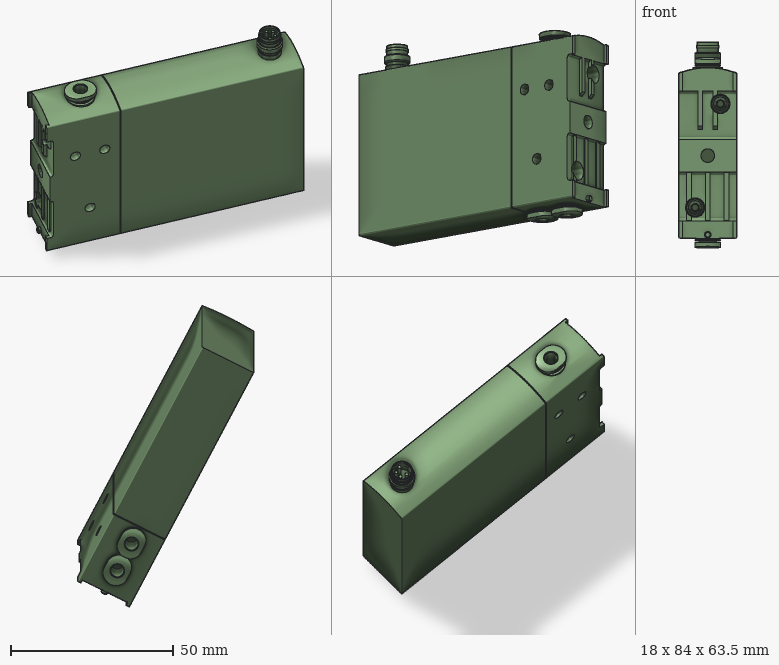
import cadquery as cq
import math

BODY_WIDTH = 18.0
BODY_LENGTH = 84.0
BODY_TOP_Z = 52.6
CROWN_RADIUS = 26.5
EDGE_FILLET = 0.6
JOINT_Y = 24.15
JOINT_WIDTH = 0.25
JOINT_DEPTH = 0.2

FACE_Y = 1.0
LUG_WIDTH = 1.15
RECESS_DEPTH = 1.1
RECESS_FILLET = 1.0
FLOOR_Y = FACE_Y + RECESS_DEPTH
UPPER_RECESS = (30.5, 45.4)
LOWER_RECESS = (5.4, 20.4)

RIB_WIDTH = 1.4
WIDE_RIB_WIDTH = 1.6
UPPER_RIB_X = 2.3
UPPER_RIB_END_Z = 33.5
LOWER_RIB_X = 5.8
LOWER_RIB_HEIGHT = 0.5

CENTRE_HOLE_DIA = 4.2
CENTRE_HOLE_Z = 25.5
CENTRE_HOLE_DEPTH = 8.0
SCREW_POSITIONS = [(3.9, 41.5), (-3.9, 9.5)]
SCREW_HOLE_DIA = 5.9
SCREW_HOLE_DEPTH = 10.0
WASHER_DIA = 5.2
WASHER_THICKNESS = 0.8
HEAD_DIA = 4.2
HEAD_HEIGHT = 1.4
SOCKET_DIA = 2.0
SOCKET_DEPTH = 0.9
SOCKET_MOUTH_DIA = 2.5
SOCKET_MOUTH_DEPTH = 0.4
PIN_DIA = 2.0
PIN_Z = 1.1
PIN_CHAMFER = 0.3

MOUNT_HOLE_DIA = 3.3
PORT_FRONT_Y = 9.3
PORT_REAR_Y = 18.9
PORT_MID_Y = (PORT_FRONT_Y + PORT_REAR_Y) / 2
MOUNT_HOLES = [(PORT_FRONT_Y, 36.8), (PORT_REAR_Y, 36.8), (PORT_MID_Y, 14.1)]

TOP_FITTING_Y = PORT_MID_Y
BOTTOM_FITTINGS_Y = [PORT_FRONT_Y, PORT_REAR_Y]
SEAT_DIA = 9.0
SEAT_HEIGHT = 0.15
FITTING_BASE_DIA = 7.2
FITTING_BASE_HEIGHT = 0.35
FLANGE_DIA = 8.0
FLANGE_TOP = 0.8
FLANGE_CHAMFER = 0.2
NECK_DIA = 5.5
COLLAR_BOTTOM = 1.25
COLLAR_TOP = 3.0
COLLAR_WIDTH = 8.0
COLLAR_LENGTH = 10.0
COLLAR_FLAT_DIA = 4.6
COLLAR_DOME_DROP = 0.55
TUBE_BORE_DIA = 4.0
TUBE_BORE_CHAMFER = 0.25
TUBE_BORE_DEPTH = 10.0

PLUG_Y = 76.0
PLUG_TOP_Z = 60.52
PLUG_BASE_DIA = 7.2
PLUG_BASE_TOP_Z = 54.0
PLUG_DIA = 6.5
NUT_DIA = 8.0
NUT_BOTTOM_Z = 55.0
NUT_TOP_Z = 57.4
NUT_CHAMFER = 0.4
SNAP_RING_DIA = 6.9
SNAP_RING_BOTTOM_Z = 58.7
SNAP_RING_TOP_Z = 59.5
PLUG_BORE_DIA = 5.9
PLUG_BORE_DEPTH = 5.0
CONTACT_DIA = 1.0
CONTACT_RECESS = 0.7
CONTACT_REAR = (1.0, 1.45)
CONTACT_FRONT = (1.7, -0.5)

EMBED = 1.0


def crowned_prism(y_start, y_end, inset=0.0):
    """Flat-bottomed bar along Y with a crowned top and rounded long edges."""
    half = BODY_WIDTH / 2 - inset
    crown_z = BODY_TOP_Z - inset
    shoulder_z = crown_z - CROWN_RADIUS + math.sqrt(CROWN_RADIUS**2 - half**2)
    return (
        cq.Workplane("XZ", origin=(0, y_start, 0))
        .moveTo(-half, inset)
        .lineTo(half, inset)
        .lineTo(half, shoulder_z)
        .threePointArc((0, crown_z), (-half, shoulder_z))
        .close()
        .extrude(y_start - y_end)
        .edges("|Y")
        .fillet(EDGE_FILLET)
    )


def box(x_range, y_range, z_range):
    size = [high - low for low, high in (x_range, y_range, z_range)]
    corner = (x_range[0], y_range[0], z_range[0])
    return cq.Workplane("XY").box(*size, centered=False).translate(corner)


def rod_y(x, z, y_start, y_end, diameter):
    """Cylinder along Y."""
    return cq.Workplane("XZ", origin=(x, y_start, z)).circle(diameter / 2).extrude(y_start - y_end)


def make_body():
    joint_front = JOINT_Y - JOINT_WIDTH / 2
    joint_back = JOINT_Y + JOINT_WIDTH / 2
    block = crowned_prism(0, joint_front)
    core = crowned_prism(joint_front - EMBED, joint_back + EMBED, JOINT_DEPTH)
    housing = crowned_prism(joint_back, BODY_LENGTH)
    return block.union(core).union(housing)


def cut_front_face(body):
    """Leave four corner lugs, a raised centre band and two rounded recesses."""
    lug_x = BODY_WIDTH / 2 - LUG_WIDTH
    between_lugs = box((-lug_x, lug_x), (0, FACE_Y), (0, BODY_TOP_Z))
    body = body.cut(between_lugs)

    band = (LOWER_RECESS[1], UPPER_RECESS[0])
    half = BODY_WIDTH / 2
    body = body.cut(box((-half, half), (0, FACE_Y), band))
    for z_range in (LOWER_RECESS, UPPER_RECESS):
        recess = box((-half, half), (-EMBED, FLOOR_Y), z_range)
        body = body.cut(recess.edges("|X and >Y").fillet(RECESS_FILLET))
    return body


def add_ribs(body):
    for x in (-UPPER_RIB_X, UPPER_RIB_X):
        rib = (
            cq.Workplane("YZ", origin=(x, 0, 0))
            .moveTo(FACE_Y, UPPER_RECESS[1])
            .lineTo(FACE_Y, UPPER_RIB_END_Z + RECESS_DEPTH)
            .lineTo(FLOOR_Y, UPPER_RIB_END_Z)
            .lineTo(FLOOR_Y + EMBED, UPPER_RIB_END_Z)
            .lineTo(FLOOR_Y + EMBED, UPPER_RECESS[1])
            .close()
            .extrude(RIB_WIDTH / 2, both=True)
        )
        body = body.union(rib)
    lower_ribs = [(-LOWER_RIB_X, WIDE_RIB_WIDTH), (0, RIB_WIDTH), (LOWER_RIB_X, WIDE_RIB_WIDTH)]
    for x, width in lower_ribs:
        x_range = (x - width / 2, x + width / 2)
        y_range = (FLOOR_Y - LOWER_RIB_HEIGHT, FLOOR_Y + EMBED)
        body = body.union(box(x_range, y_range, LOWER_RECESS))
    return body


def add_sunk_screw(body, x, z):
    """Round pocket with a washer and a domed socket screw at its bottom."""
    pocket_end = FLOOR_Y + SCREW_HOLE_DEPTH
    washer_top = pocket_end - WASHER_THICKNESS
    head_top = washer_top - HEAD_HEIGHT
    body = body.cut(rod_y(x, z, 0, pocket_end, SCREW_HOLE_DIA))
    washer = rod_y(x, z, washer_top, pocket_end + EMBED, WASHER_DIA)
    head_radius = HEAD_DIA / 2
    dome_radius = (head_radius**2 + HEAD_HEIGHT**2) / (2 * HEAD_HEIGHT)
    dome_mid_x = head_radius / 2
    dome_mid_y = head_top + dome_radius - math.sqrt(dome_radius**2 - dome_mid_x**2)
    head = (
        cq.Workplane("XY", origin=(x, 0, z))
        .moveTo(0, pocket_end)
        .lineTo(head_radius, pocket_end)
        .lineTo(head_radius, washer_top)
        .threePointArc((dome_mid_x, dome_mid_y), (0, head_top))
        .close()
        .revolve(360, (0, 0, 0), (0, 1, 0))
    )
    socket = rod_y(x, z, head_top, head_top + SOCKET_DEPTH, SOCKET_DIA)
    socket_mouth = rod_y(x, z, head_top, head_top + SOCKET_MOUTH_DEPTH, SOCKET_MOUTH_DIA)
    screw = washer.union(head).cut(socket).cut(socket_mouth)
    return body.union(screw)


def add_front_details(body):
    centre_hole_end = FACE_Y + CENTRE_HOLE_DEPTH
    body = body.cut(rod_y(0, CENTRE_HOLE_Z, 0, centre_hole_end, CENTRE_HOLE_DIA))
    for x, z in SCREW_POSITIONS:
        body = add_sunk_screw(body, x, z)
    pin = rod_y(0, PIN_Z, 0, FACE_Y + EMBED, PIN_DIA).faces("<Y").chamfer(PIN_CHAMFER)
    return body.union(pin)


def cut_mount_holes(body):
    holes = (
        cq.Workplane("YZ")
        .pushPoints(MOUNT_HOLES)
        .circle(MOUNT_HOLE_DIA / 2)
        .extrude(BODY_WIDTH / 2, both=True)
    )
    return body.cut(holes)


def make_collar():
    """Oblong release collar with a gently domed top."""
    oblong = (
        cq.Workplane("XY", origin=(0, 0, COLLAR_BOTTOM))
        .slot2D(COLLAR_LENGTH, COLLAR_WIDTH, 90)
        .extrude(COLLAR_TOP - COLLAR_BOTTOM)
    )
    dome = (
        cq.Workplane("XZ")
        .moveTo(0, 0)
        .lineTo(0, COLLAR_TOP)
        .lineTo(COLLAR_FLAT_DIA / 2, COLLAR_TOP)
        .tangentArcPoint((COLLAR_LENGTH / 2, COLLAR_TOP - COLLAR_DOME_DROP), relative=False)
        .lineTo(COLLAR_LENGTH / 2, 0)
        .close()
        .revolve(360, (0, 0, 0), (0, 1, 0))
    )
    return oblong.intersect(dome)


def make_fitting():
    """Push-in fitting standing on Z = 0."""
    base = (
        cq.Workplane("XY", origin=(0, 0, -EMBED))
        .circle(FITTING_BASE_DIA / 2)
        .extrude(EMBED + FITTING_BASE_HEIGHT)
    )
    flange = (
        cq.Workplane("XY", origin=(0, 0, FITTING_BASE_HEIGHT))
        .circle(FLANGE_DIA / 2)
        .extrude(FLANGE_TOP - FITTING_BASE_HEIGHT)
        .edges()
        .chamfer(FLANGE_CHAMFER)
    )
    neck = cq.Workplane("XY").circle(NECK_DIA / 2).extrude(COLLAR_BOTTOM)
    return base.union(flange).union(neck).union(make_collar())


def make_tube_bore():
    bore_radius = TUBE_BORE_DIA / 2
    mouth_radius = bore_radius + TUBE_BORE_CHAMFER
    bore = cq.Workplane("XY", origin=(0, 0, COLLAR_TOP)).circle(bore_radius).extrude(-TUBE_BORE_DEPTH)
    mouth = cq.Solid.makeCone(
        bore_radius,
        mouth_radius,
        TUBE_BORE_CHAMFER,
        pnt=cq.Vector(0, 0, COLLAR_TOP - TUBE_BORE_CHAMFER),
    )
    return bore.union(cq.Workplane(mouth))


def add_fittings(body):
    fitting = make_fitting()
    bore = make_tube_bore()

    seat_base = cq.Workplane("XY", origin=(0, TOP_FITTING_Y, BODY_TOP_Z - EMBED))
    body = body.union(seat_base.circle(SEAT_DIA / 2).extrude(EMBED + SEAT_HEIGHT))
    top_place = (0, TOP_FITTING_Y, BODY_TOP_Z + SEAT_HEIGHT)
    body = body.union(fitting.translate(top_place)).cut(bore.translate(top_place))

    flip = ((0, 0, 0), (1, 0, 0), 180)
    for y in BOTTOM_FITTINGS_Y:
        body = body.union(fitting.rotate(*flip).translate((0, y, 0)))
    for y in BOTTOM_FITTINGS_Y:
        body = body.cut(bore.rotate(*flip).translate((0, y, 0)))
    return body


def add_plug(body):
    """Four-contact round plug with a plain round nut and a snap ring."""

    def disc(z_start, z_end, diameter):
        return cq.Workplane("XY", origin=(0, PLUG_Y, z_start)).circle(diameter / 2).extrude(z_end - z_start)

    root_z = BODY_TOP_Z - EMBED
    body = body.union(disc(root_z, PLUG_BASE_TOP_Z, PLUG_BASE_DIA))
    body = body.union(disc(root_z, PLUG_TOP_Z, PLUG_DIA))
    body = body.union(disc(NUT_BOTTOM_Z, NUT_TOP_Z, NUT_DIA).edges().chamfer(NUT_CHAMFER))
    body = body.union(disc(SNAP_RING_BOTTOM_Z, SNAP_RING_TOP_Z, SNAP_RING_DIA))

    bore_floor_z = PLUG_TOP_Z - PLUG_BORE_DEPTH
    body = body.cut(disc(bore_floor_z, PLUG_TOP_Z, PLUG_BORE_DIA))
    for side in (-1, 1):
        for x, y in (CONTACT_REAR, CONTACT_FRONT):
            contact = disc(bore_floor_z - EMBED, PLUG_TOP_Z - CONTACT_RECESS, CONTACT_DIA)
            body = body.union(contact.translate((side * x, y, 0)))
    return body


body = make_body()
body = cut_front_face(body)
body = add_ribs(body)
body = add_front_details(body)
body = cut_mount_holes(body)
body = add_fittings(body)
result = add_plug(body)